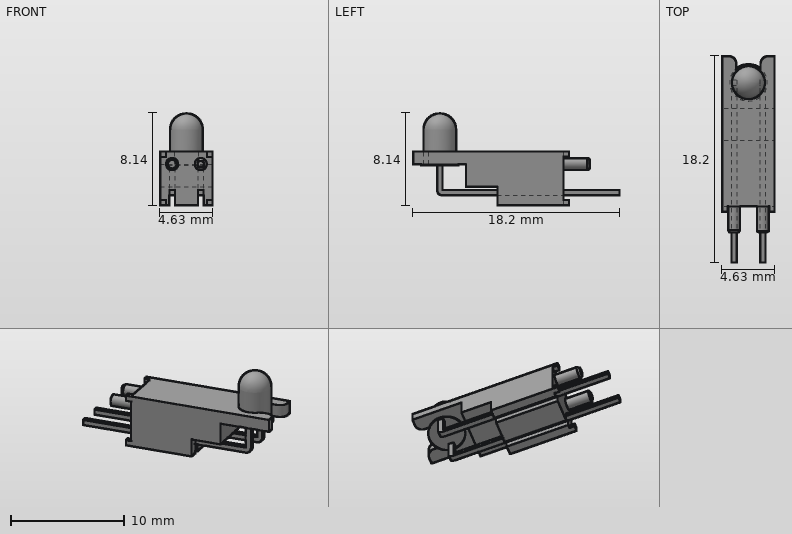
import cadquery as cq


overall_length = 18.24

body_width = 4.63
body_height = 4.78
body_length = 13.28
base_length = 5.84
shoulder_length = 8.63
shoulder_height = 1.65
plate_thickness = 1.15
plate_bottom = body_height - plate_thickness

entry_width = 2.12
entry_radius = 0.7

pitch = 2.54
lead_size = 0.5
lead_end = body_length - overall_length
lead_top = 1.37
lead_bottom = lead_top - lead_size
lead_bend_radius = 0.5

standoff_size = 0.5
peg_radius = 0.53
peg_length = 2.32
peg_height = 3.65
left_tip_length = 0.24
left_tip_radius = 0.38
right_tip_length = 0.13
right_tip_radius = 0.3

lamp_y = 10.93
lamp_radius = 1.46
lamp_top = 8.14
flange_radius = 1.65
flange_thickness = 0.11
flange_bottom = plate_bottom - flange_thickness
dome_base = lamp_top - lamp_radius


def box(width, y_start, y_end, z_start, z_end, x_center=0.0):
    """Box centred across x_center, given by its Y and Z limits."""
    corner = (x_center - width / 2, y_start, z_start)
    return cq.Workplane("XY").box(width, y_end - y_start, z_end - z_start, centered=False).translate(corner)


def make_housing():
    """Stepped block with an entry slot at the rear and a standoff at each front corner."""
    housing = (
        cq.Workplane("YZ")
        .moveTo(0, 0)
        .lineTo(base_length, 0)
        .lineTo(base_length, shoulder_height)
        .lineTo(shoulder_length, shoulder_height)
        .lineTo(shoulder_length, plate_bottom)
        .lineTo(body_length, plate_bottom)
        .lineTo(body_length, body_height)
        .lineTo(0, body_height)
        .close()
        .extrude(body_width / 2, both=True)
    )
    housing = housing.cut(box(entry_width, lamp_y, body_length, plate_bottom, body_height))
    entry_corners = cq.selectors.BoxSelector(
        (-entry_width, body_length - entry_radius, plate_bottom),
        (entry_width, body_length + entry_radius, body_height),
    )
    housing = housing.edges("|Z").edges(entry_corners).fillet(entry_radius)

    standoff_x = (body_width - standoff_size) / 2
    for x in (-standoff_x, standoff_x):
        for z in (0, body_height - standoff_size):
            housing = housing.union(box(standoff_size, -standoff_size, 0, z, z + standoff_size, x))
    return housing


def make_peg(x, tip_length, tip_radius):
    """Round peg with a conical tip, pointing forward from the front face."""
    profile = (
        cq.Workplane("XY")
        .moveTo(0, 0)
        .lineTo(peg_radius, 0)
        .lineTo(peg_radius, tip_length - peg_length)
        .lineTo(tip_radius, -peg_length)
        .lineTo(0, -peg_length)
        .close()
    )
    return profile.revolve(360, (0, 0, 0), (0, 1, 0)).translate((x, 0, peg_height))


def make_lead(x):
    """Wire that drops from the lamp flange, turns forward and runs out past the front face."""
    back = lamp_y + lead_size / 2
    front = lamp_y - lead_size / 2
    return (
        cq.Workplane("YZ")
        .moveTo(lead_end, lead_bottom)
        .lineTo(back - lead_bend_radius, lead_bottom)
        .radiusArc((back, lead_bottom + lead_bend_radius), -lead_bend_radius)
        .lineTo(back, plate_bottom)
        .lineTo(front, plate_bottom)
        .lineTo(front, lead_top)
        .lineTo(lead_end, lead_top)
        .close()
        .extrude(lead_size / 2, both=True)
        .translate((x, 0, 0))
    )


def make_lamp():
    """Domed cylinder on a thin round flange below the plate."""
    profile = (
        cq.Workplane("XZ")
        .moveTo(0, flange_bottom)
        .lineTo(flange_radius, flange_bottom)
        .lineTo(flange_radius, plate_bottom)
        .lineTo(lamp_radius, plate_bottom)
        .lineTo(lamp_radius, dome_base)
        .radiusArc((0, lamp_top), -lamp_radius)
        .close()
    )
    return profile.revolve(360, (0, 0, 0), (0, 1, 0)).translate((0, lamp_y, 0))


result = make_housing()
for x in (-pitch / 2, pitch / 2):
    result = result.cut(box(lead_size, 0, base_length, 0, lead_top, x))
    result = result.union(make_lead(x))
result = result.union(make_peg(-pitch / 2, left_tip_length, left_tip_radius))
result = result.union(make_peg(pitch / 2, right_tip_length, right_tip_radius))
result = result.union(make_lamp())